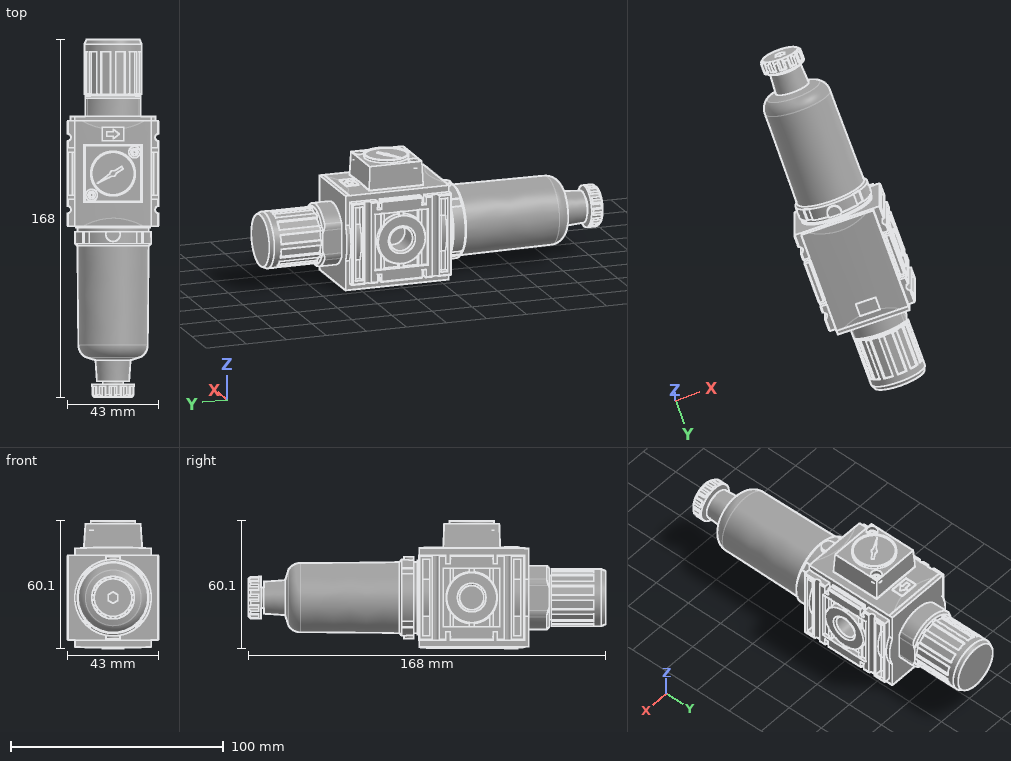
import cadquery as cq


core_half_width = 18.0
core_half_height = 23.2
core_front_y = -24.9
lip_setback = 0.2
core_back_y = 26.9
barrel_diameter = 40.0
crown_peak = 23.7
crown_back_y = 24.9
crown_end = 23.4
crown_slope_length = 4.0
crown_root = 21.8

plate_half_width = 21.5
plate_half_height = 20.0
plate_back_y = 24.9
plate_chamfer = 0.5

groove_radius = 1.7
groove_offset = 17.0
window_offset = 21.3
window_width = 3.4
window_height = 36.0
slot_offset = 11.1
slot_width = 2.0
slot_bottom = 16.0
gap_inner_x = 18.1
gap_width = 1.0
gap_depth = 1.7

channel_inner_y = 10.0
channel_outer_y = 13.3
channel_depth = 1.5
panel_depth = 0.7
panel_half_height = 13.8
pocket_half_width = 8.5
pocket_depth = 2.5
web_width = 2.2
boss_diameter = 23.5
boss_root_diameter = 24.4
port_diameter = 11.5
port_chamfer = 1.0
port_depth = 11.8

bonnet_diameter = 30.0
bonnet_half_width = 13.1
bonnet_end_y = 36.5
bonnet_chamfer = 1.2
bonnet_edge_radius = 5.0

pad_width = 9.9
pad_back_y = 21.7
pad_front_y = 15.5
pad_height = 24.0
arrow_half_length = 3.0
arrow_head_length = 2.9
arrow_half_head = 2.2
arrow_half_shaft = 1.0
engraving_depth = 0.2

gauge_top_width = 26.0
gauge_base_width = 27.5
gauge_base_length = 26.9
gauge_seat = 23.2
gauge_top = 34.8
dial_diameter = 21.0
dial_top = 36.1
glass_diameter = 20.0
glass_depth = 0.3
needle_angle = 32.0
needle_tip = 8.7
needle_tail = 5.2
needle_half_width = 0.7
needle_hub_radius = 1.5
screw_offset = 10.0
screw_recess_diameter = 5.4
screw_recess_floor = 31.5
screw_head_diameter = 3.4
screw_head_top = 33.1
screw_socket_diameter = 1.7

knob_diameter = 27.0
knob_end_y = 63.0
knob_skirt_y = 37.3
knob_bevel_length = 2.2
knob_bevel_inset = 1.0
knob_neck_diameter = 21.0
grip_count = 12
grip_end_y = 57.3
grip_width = 4.9
grip_floor_width = 4.0
grip_depth = 1.0

collar_diameter = 33.6
collar_lip_diameter = 35.0
collar_lip_y = -25.5
ring_back_y = -27.2
ring_front_y = -33.0
ring_taper_y = -34.0
ring_diameter = 36.0
bowl_top_diameter = 33.6
bowl_low_diameter = 32.8
shoulder_start_y = -80.5
shoulder_end_y = -86.2
shoulder_diameter = 26.2
bowl_end_y = -87.7
spout_top_diameter = 16.6
spout_end_diameter = 15.3
spout_end_y = -97.6
drain_neck_diameter = 9.7
drain_back_y = -99.0
drain_end_y = -105.0
drain_diameter = 20.0
drain_bevel = 1.2
drain_bevel_length = 1.2
drain_socket_corners = 5.4
drain_socket_depth = 6.7
knurl_count = 12
knurl_width = 3.7
knurl_floor_width = 1.5
knurl_depth = 1.2
knurl_rim = 1.0
button_front_y = -32.0
button_radius = 3.4
button_height = 19.3
notch_count = 4
notch_width = 4.2
notch_floor = 17.1


def block(x_range, y_range, z_range):
    """Box between two positions on each axis."""
    (x0, x1), (y0, y1), (z0, z1) = x_range, y_range, z_range
    return cq.Workplane("XY").box(x1 - x0, y1 - y0, z1 - z0, centered=False).translate((x0, y0, z0))


def disc(diameter, y_start, y_end):
    """Cylinder on the main axis, y_start being its +Y end."""
    return cq.Workplane("XZ", origin=(0, y_start, 0)).circle(diameter / 2).extrude(y_start - y_end)


def turned(points):
    """Solid of revolution about the main axis from (radius, y) points."""
    return cq.Workplane("XY").polyline(points).close().revolve(360, (0, 0, 0), (0, 1, 0))


def around_main_axis(shape, angle):
    return shape.rotate((0, 0, 0), (0, 1, 0), angle)


def around_z(shape, angle):
    return shape.rotate((0, 0, 0), (0, 0, 1), angle)


def rim_groove(rim_radius, depth, rim_width, floor_width, y_start, y_end):
    """Cutter for one axial groove with sloping sides at the top of a round rim."""
    flare = (rim_width - floor_width) / 2
    profile = [
        (-floor_width / 2, rim_radius - depth),
        (floor_width / 2, rim_radius - depth),
        (rim_width / 2 + flare, rim_radius + depth),
        (-rim_width / 2 - flare, rim_radius + depth),
    ]
    return cq.Workplane("XZ", origin=(0, y_start, 0)).polyline(profile).close().extrude(y_start - y_end)


def cut_around(body, cutter, count, first_angle):
    """Cut evenly spaced copies of a cutter, the first one turned from the top by first_angle."""
    for index in range(count):
        body = body.cut(around_main_axis(cutter, first_angle + index * 360 / count))
    return body


def make_crown():
    """Cambered cap of the block: an arc across X with ramps at both Y ends."""
    camber = (
        cq.Workplane("XZ", origin=(0, crown_back_y, 0))
        .moveTo(-core_half_width, crown_root)
        .lineTo(-core_half_width, core_half_height)
        .threePointArc((0, crown_peak), (core_half_width, core_half_height))
        .lineTo(core_half_width, crown_root)
        .close()
        .extrude(crown_back_y - core_front_y)
    )
    ramps = (
        cq.Workplane("YZ", origin=(-core_half_width, 0, 0))
        .polyline([
            (core_front_y, crown_root),
            (core_front_y, crown_end),
            (core_front_y + crown_slope_length, crown_peak),
            (crown_back_y - crown_slope_length, crown_peak),
            (crown_back_y, crown_end),
            (crown_back_y, crown_root),
        ])
        .close()
        .extrude(2 * core_half_width)
    )
    return camber.intersect(ramps)


def make_side_plate():
    """The -X side plate with its slots, windows and port boss."""
    face_x = -plate_half_width
    plate = block(
        (face_x, -core_half_width), (core_front_y, plate_back_y), (-plate_half_height, plate_half_height)
    )
    plate = plate.faces("<X").edges().chamfer(plate_chamfer)
    barrel = disc(barrel_diameter, core_back_y, core_front_y)

    for side in (-1, 1):
        window = cq.Workplane("XY").box(2 * plate_half_width, window_width, window_height)
        window = window.translate((face_x, side * window_offset, 0)).cut(barrel)
        plate = plate.cut(window)

    for level in (-1, 1):
        slot_height = plate_half_height - slot_bottom
        for side in (-1, 1):
            slot = cq.Workplane("XY").box(2 * plate_half_width, slot_width, slot_height)
            slot_z = level * (slot_bottom + slot_height / 2)
            plate = plate.cut(slot.translate((face_x, side * slot_offset, slot_z)))
        gap = cq.Workplane("XY").box(gap_width, 2 * slot_offset, gap_depth)
        gap_z = level * (plate_half_height - gap_depth / 2)
        plate = plate.cut(gap.translate((-gap_inner_x - gap_width / 2, 0, gap_z)))

    boss = (
        cq.Workplane("YZ", origin=(face_x, 0, 0))
        .circle(boss_diameter / 2)
        .workplane(offset=pocket_depth)
        .circle(boss_root_diameter / 2)
        .loft()
    )
    panel_z = (-panel_half_height, panel_half_height)
    panel_x = (face_x, face_x + panel_depth)
    channel_x = (face_x, face_x + channel_depth)
    pocket_x = (face_x, face_x + pocket_depth)
    recess = block(panel_x, (-channel_outer_y, channel_outer_y), panel_z)
    recess = recess.union(block(channel_x, (channel_inner_y, channel_outer_y), panel_z))
    recess = recess.union(block(channel_x, (-channel_outer_y, -channel_inner_y), panel_z))
    recess = recess.union(block(pocket_x, (web_width / 2, pocket_half_width), panel_z))
    recess = recess.union(block(pocket_x, (-pocket_half_width, -web_width / 2), panel_z))
    return plate.cut(recess.cut(boss))


def make_clamping_grooves():
    """Cutters for the four half-round grooves that run the full height of the side faces."""
    corners = [(x, y) for x in (-plate_half_width, plate_half_width) for y in (-groove_offset, groove_offset)]
    base = cq.Workplane("XY", origin=(0, 0, -plate_half_height))
    return base.pushPoints(corners).circle(groove_radius).extrude(2 * plate_half_height)


def make_port():
    """Blind port hole of the -X side with its lead-in chamfer."""
    radius = port_diameter / 2
    profile = [
        (-plate_half_width, 0),
        (-plate_half_width, radius + port_chamfer),
        (-plate_half_width + port_chamfer, radius),
        (-plate_half_width + port_depth, radius),
        (-plate_half_width + port_depth, 0),
    ]
    port = cq.Workplane("XY").polyline(profile).close()
    return port.revolve(360, (0, 0, 0), (1, 0, 0))


def make_bonnet():
    """Round bonnet behind the block with two flats blended into it."""
    bonnet = disc(bonnet_diameter, bonnet_end_y, core_back_y)
    flats = block(
        (-bonnet_half_width, bonnet_half_width),
        (core_back_y, bonnet_end_y),
        (-bonnet_diameter, bonnet_diameter),
    )
    bonnet = bonnet.intersect(flats)
    bonnet = bonnet.edges("|Y").fillet(bonnet_edge_radius)
    end_cone = turned([
        (0, core_back_y),
        (bonnet_diameter / 2, core_back_y),
        (bonnet_diameter / 2, bonnet_end_y - bonnet_chamfer),
        (bonnet_diameter / 2 - bonnet_chamfer, bonnet_end_y),
        (0, bonnet_end_y),
    ])
    return bonnet.intersect(end_cone)


def make_arrow():
    """Flow arrow pointing to +X, cut into the top pad."""
    neck_x = arrow_half_length - arrow_head_length
    outline = [
        (-arrow_half_length, -arrow_half_shaft),
        (neck_x, -arrow_half_shaft),
        (neck_x, -arrow_half_head),
        (arrow_half_length, 0),
        (neck_x, arrow_half_head),
        (neck_x, arrow_half_shaft),
        (-arrow_half_length, arrow_half_shaft),
    ]
    pad_middle_y = (pad_back_y + pad_front_y) / 2
    plane = cq.Workplane("XY", origin=(0, pad_middle_y, pad_height))
    return plane.polyline(outline).close().extrude(-engraving_depth)


def make_housing():
    housing = block(
        (-core_half_width, core_half_width),
        (core_front_y, core_back_y),
        (-core_half_height, core_half_height),
    )
    housing = housing.union(disc(barrel_diameter, core_back_y, core_front_y))
    pad = block((-pad_width / 2, pad_width / 2), (pad_front_y, pad_back_y), (crown_root, pad_height))
    cap = make_crown().union(pad)
    housing = housing.union(cap).union(cap.mirror("XY"))
    plate = make_side_plate()
    housing = housing.union(plate).union(plate.mirror("YZ"))
    port = make_port()
    housing = housing.cut(port).cut(port.mirror("YZ"))
    lip_x = (-core_half_width, core_half_width)
    lip = block(lip_x, (core_front_y, core_front_y + lip_setback), (plate_half_height, pad_height))
    housing = housing.cut(lip).cut(lip.mirror("XY")).cut(make_clamping_grooves())
    return housing.union(make_bonnet()).cut(make_gauge_case()).cut(make_arrow())


def make_gauge_case():
    """Drafted square case of the gauge, let into the top of the housing."""
    return (
        cq.Workplane("XY", origin=(0, 0, gauge_seat))
        .rect(gauge_base_width, gauge_base_length)
        .workplane(offset=gauge_top - gauge_seat)
        .rect(gauge_top_width, gauge_top_width)
        .loft()
    )


def make_gauge():
    """Square pressure gauge with round dial, needle and two recessed screws."""
    dial = cq.Workplane("XY", origin=(0, 0, gauge_top)).circle(dial_diameter / 2)
    dial = dial.extrude(dial_top - gauge_top)
    glass_level = dial_top - glass_depth
    glass = cq.Workplane("XY", origin=(0, 0, dial_top)).circle(glass_diameter / 2).extrude(-glass_depth)
    gauge = make_gauge_case().union(dial).cut(glass)

    half_outline = [
        (-needle_hub_radius, needle_half_width),
        (0, needle_hub_radius),
        (needle_hub_radius, needle_half_width),
        (needle_tail, needle_half_width),
    ]
    mirrored = [(x, -y) for x, y in reversed(half_outline)]
    needle = cq.Workplane("XY", origin=(0, 0, glass_level))
    needle = needle.polyline([(-needle_tip, 0)] + half_outline + mirrored).close().extrude(-engraving_depth)
    gauge = gauge.cut(around_z(needle, needle_angle))

    for side in (-1, 1):
        middle = (side * screw_offset, side * screw_offset, screw_recess_floor)
        floor = cq.Workplane("XY", origin=middle)
        recess = floor.circle(screw_recess_diameter / 2).extrude(gauge_top - screw_recess_floor)
        head = (
            floor.circle(screw_head_diameter / 2)
            .circle(screw_socket_diameter / 2)
            .extrude(screw_head_top - screw_recess_floor)
        )
        gauge = gauge.cut(recess.cut(head))
    return gauge


def make_knob():
    """Adjusting knob with axial grip grooves and the neck that rests on the bonnet."""
    radius = knob_diameter / 2
    knob = turned([
        (0, knob_skirt_y),
        (radius, knob_skirt_y),
        (radius, knob_end_y - knob_bevel_length),
        (radius - knob_bevel_inset, knob_end_y),
        (0, knob_end_y),
    ])
    groove = rim_groove(radius, grip_depth, grip_width, grip_floor_width, grip_end_y, knob_skirt_y)
    knob = cut_around(knob, groove, grip_count, 180 / grip_count)
    return knob.union(disc(knob_neck_diameter, knob_skirt_y, bonnet_end_y))


def make_bowl():
    """Filter bowl with its lock ring, spout, drain knob and release buttons."""
    ring_radius = ring_diameter / 2
    low_radius = bowl_low_diameter / 2
    shoulder_radius = shoulder_diameter / 2
    bowl = (
        cq.Workplane("XY")
        .moveTo(0, core_front_y)
        .lineTo(collar_lip_diameter / 2, core_front_y)
        .lineTo(collar_lip_diameter / 2, collar_lip_y)
        .lineTo(collar_diameter / 2, collar_lip_y)
        .lineTo(collar_diameter / 2, ring_back_y)
        .lineTo(ring_radius, ring_back_y)
        .lineTo(ring_radius, ring_front_y)
        .lineTo(bowl_top_diameter / 2, ring_taper_y)
        .lineTo(low_radius, shoulder_start_y)
        .tangentArcPoint((shoulder_radius, shoulder_end_y), relative=False)
        .lineTo(spout_top_diameter / 2, bowl_end_y)
        .lineTo(spout_end_diameter / 2, spout_end_y)
        .lineTo(drain_neck_diameter / 2, spout_end_y)
        .lineTo(drain_neck_diameter / 2, drain_back_y)
        .lineTo(drain_diameter / 2, drain_back_y)
        .lineTo(drain_diameter / 2, drain_end_y + drain_bevel_length)
        .lineTo(drain_diameter / 2 - drain_bevel, drain_end_y)
        .lineTo(0, drain_end_y)
        .close()
        .revolve(360, (0, 0, 0), (0, 1, 0))
    )

    notch = block(
        (-notch_width / 2, notch_width / 2), (ring_front_y, ring_back_y), (notch_floor, ring_diameter)
    )
    bowl = cut_around(bowl, notch, notch_count, 180 / notch_count)

    button_y = button_front_y + button_radius
    button = cq.Workplane("XY", origin=(0, button_y, 0)).circle(button_radius).extrude(button_height)
    ring_span = block(
        (-button_radius, button_radius), (button_front_y, ring_back_y), (0, button_height)
    )
    button = button.intersect(ring_span)
    bowl = bowl.union(button).union(button.mirror("XY"))

    knurl_back_y = drain_back_y - knurl_rim
    knurl = rim_groove(
        drain_diameter / 2, knurl_depth, knurl_width, knurl_floor_width, knurl_back_y, drain_end_y
    )
    bowl = cut_around(bowl, knurl, knurl_count, 0)
    socket_turn = 30
    socket = cq.Workplane("XZ", origin=(0, drain_end_y, 0)).polygon(6, drain_socket_corners)
    return bowl.cut(around_main_axis(socket.extrude(-drain_socket_depth), socket_turn))


housing = make_housing()
gauge = make_gauge()
knob = make_knob()
bowl = make_bowl()
bodies = [body.solids().val() for body in (housing, gauge, knob, bowl)]
result = cq.Compound.makeCompound(bodies)